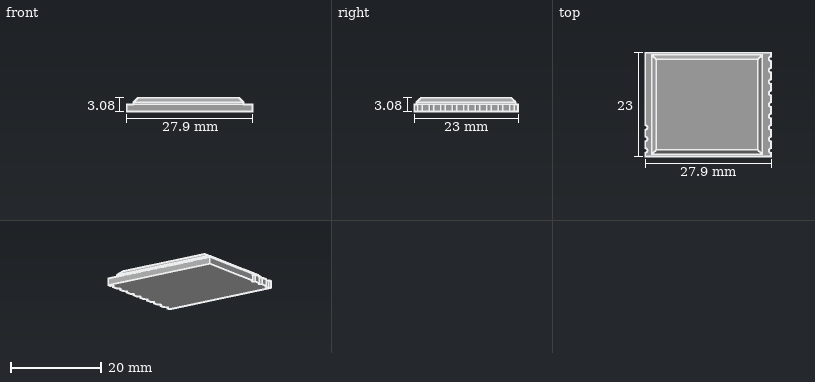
import cadquery as cq

BOARD_LENGTH = 27.94
BOARD_WIDTH = 23.0
BOARD_THICKNESS = 1.58

SHIELD_HEIGHT = 1.5
SHIELD_CHAMFER = 1.0
SHIELD_MARGIN_LEFT = 1.5
SHIELD_MARGIN_RIGHT = 2.0
SHIELD_MARGIN_Y = 0.5
SHIELD_LENGTH = BOARD_LENGTH - SHIELD_MARGIN_LEFT - SHIELD_MARGIN_RIGHT
SHIELD_WIDTH = BOARD_WIDTH - 2 * SHIELD_MARGIN_Y
SHIELD_CENTRE_X = (SHIELD_MARGIN_LEFT - SHIELD_MARGIN_RIGHT) / 2

NOTCH_RADIUS = 0.5
NOTCH_PITCH = 2.54
RIGHT_NOTCH_COUNT = 9
LEFT_NOTCH_COUNT = 3
FIRST_NOTCH_Y = -NOTCH_PITCH * (RIGHT_NOTCH_COUNT - 1) / 2


def notch_row(edge_x, count):
    """Centres of a row of notches along one end, starting at the -Y corner."""
    return [(edge_x, FIRST_NOTCH_Y + i * NOTCH_PITCH) for i in range(count)]


def make_board():
    """Flat board with half-round notches through both X ends."""
    board = cq.Workplane("XY").box(
        BOARD_LENGTH, BOARD_WIDTH, BOARD_THICKNESS, centered=(True, True, False)
    )
    left_notches = notch_row(-BOARD_LENGTH / 2, LEFT_NOTCH_COUNT)
    right_notches = notch_row(BOARD_LENGTH / 2, RIGHT_NOTCH_COUNT)
    cutters = (
        cq.Workplane("XY")
        .pushPoints(left_notches + right_notches)
        .circle(NOTCH_RADIUS)
        .extrude(BOARD_THICKNESS)
    )
    return board.cut(cutters)


def make_shield():
    """Rectangular can with chamfered top edges."""
    return (
        cq.Workplane("XY", origin=(SHIELD_CENTRE_X, 0, BOARD_THICKNESS))
        .rect(SHIELD_LENGTH, SHIELD_WIDTH)
        .extrude(SHIELD_HEIGHT)
        .faces(">Z")
        .edges()
        .chamfer(SHIELD_CHAMFER)
    )


result = make_board().union(make_shield())